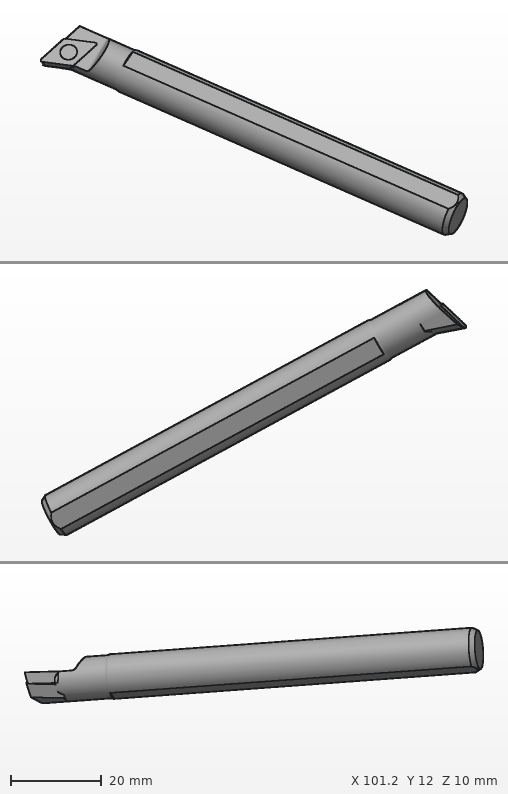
import cadquery as cq
import math

TOTAL_LENGTH = 101.2
SHANK_DIAMETER = 10.0
NECK_DIAMETER = 9.6
NECK_END = 17.7
SHANK_START = 18.3
FLAT_HEIGHT = 4.5
END_CHAMFER_LENGTH = 1.2
END_CHAMFER_DEPTH = 0.7

RAKE_TILT = 10.0
RAKE_HEIGHT = 1.3
TIP_REACH = 7.0
SHOULDER_FOOT = 10.8
SHOULDER_ANGLE = 60.0
SHOULDER_FILLET = 1.2

INSERT_SIDE = 7.8
INSERT_THICKNESS = 2.5
INSERT_ANGLE = 55.0
SIDE_EDGE_ANGLE = 17.5
CLEARANCE_ANGLE = 7.0
NOSE_RADIUS = 0.4
SCREW_HEAD_DIAMETER = 3.7
SCREW_DIAMETER = 2.8
SCREW_CONE_DEPTH = 1.0

SUPPORT_SIDE_INSET = 0.7
SUPPORT_BEVEL_TOP = -2.3
SUPPORT_BOTTOM_INSET = 2.5
SUPPORT_END = 7.9
FRONT_INSET = 0.3

TRIM_SIZE = 20.2
TRIM_DEPTH = 8.1

shank_radius = SHANK_DIAMETER / 2
neck_radius = NECK_DIAMETER / 2
tilt = math.radians(RAKE_TILT)
front_edge_angle = SIDE_EDGE_ANGLE + INSERT_ANGLE
bisector_angle = SIDE_EDGE_ANGLE + INSERT_ANGLE / 2


def along(start, angle, distance):
    """Point at a distance from start, in the direction of an angle in degrees."""
    direction = math.radians(angle)
    return (start[0] + distance * math.cos(direction), start[1] + distance * math.sin(direction))


tip_y = (RAKE_HEIGHT * math.sin(tilt) - TIP_REACH) / math.cos(tilt)
nose_center = (NOSE_RADIUS, tip_y + NOSE_RADIUS)
nose_to_sharp_tip = NOSE_RADIUS / math.sin(math.radians(INSERT_ANGLE / 2))
sharp_tip = along(nose_center, bisector_angle, -nose_to_sharp_tip)
insert_far_corner = along(along(sharp_tip, SIDE_EDGE_ANGLE, INSERT_SIDE), front_edge_angle, INSERT_SIDE)
insert_center = ((sharp_tip[0] + insert_far_corner[0]) / 2, (sharp_tip[1] + insert_far_corner[1]) / 2)


def tilted(body):
    """Turn a body built on a level rake plane into the tilted rake plane."""
    return body.rotate((0, 0, 0), (1, 0, 0), RAKE_TILT)


def rake_plane():
    return cq.Workplane("XY").workplane(offset=RAKE_HEIGHT)


def insert_prism():
    """Level insert form, a rhombus with clearance on all sides and rounded acute corners."""
    side_corner = along(sharp_tip, SIDE_EDGE_ANGLE, INSERT_SIDE)
    front_corner = along(sharp_tip, front_edge_angle, INSERT_SIDE)
    outline = rake_plane().polyline([sharp_tip, side_corner, insert_far_corner, front_corner]).close()
    prism = outline.extrude(-INSERT_THICKNESS, taper=CLEARANCE_ANGLE)
    slanted = prism.edges("not(#Z)")
    acute = slanted.sort(lambda edge: edge.Center().x + edge.Center().y)
    return prism.newObject([acute.vals()[0], acute.vals()[-1]]).fillet(NOSE_RADIUS)


def screw_plug():
    """Countersunk screw form that fills the insert hole, flush with the rake plane."""
    head_radius = SCREW_HEAD_DIAMETER / 2
    shaft_radius = SCREW_DIAMETER / 2
    profile = [
        (0, 0),
        (head_radius, 0),
        (shaft_radius, -SCREW_CONE_DEPTH),
        (shaft_radius, -INSERT_THICKNESS),
        (0, -INSERT_THICKNESS),
    ]
    plug = cq.Workplane("XZ").polyline(profile).close().revolve(360, (0, 0), (0, 1))
    return plug.translate((insert_center[0], insert_center[1], RAKE_HEIGHT))


def bar():
    """Turned neck and shank, with a flat above and below the shank."""
    profile = [
        (0, 0),
        (0, neck_radius),
        (NECK_END, neck_radius),
        (SHANK_START, shank_radius),
        (TOTAL_LENGTH - END_CHAMFER_LENGTH, shank_radius),
        (TOTAL_LENGTH, shank_radius - END_CHAMFER_DEPTH),
        (TOTAL_LENGTH, 0),
    ]
    turned = cq.Workplane("XY").polyline(profile).close().revolve(360, (0, 0), (1, 0))
    flat_length = TOTAL_LENGTH - SHANK_START
    flat_middle = SHANK_START + flat_length / 2
    for direction in (1, -1):
        flat_cut = cq.Workplane("XY").box(flat_length, SHANK_DIAMETER, SHANK_DIAMETER)
        turned = turned.cut(flat_cut.translate((flat_middle, 0, direction * (FLAT_HEIGHT + shank_radius))))
    return turned


def support():
    """Beveled block along the side cutting edge, ending square to the shank axis."""
    profile = [
        (SUPPORT_SIDE_INSET, neck_radius),
        (SUPPORT_SIDE_INSET, SUPPORT_BEVEL_TOP),
        (SUPPORT_BOTTOM_INSET, -neck_radius),
        (TRIM_SIZE, -neck_radius),
        (TRIM_SIZE, neck_radius),
    ]
    block = cq.Workplane("YZ").polyline(profile).close().extrude(TRIM_SIZE, both=True)
    block = block.rotate((0, 0, 0), (0, 0, 1), SIDE_EDGE_ANGLE).translate((0, -TIP_REACH, 0))
    allowed = cq.Workplane("XY").box(SUPPORT_END, TIP_REACH, NECK_DIAMETER, centered=(False, False, True))
    return block.intersect(allowed.translate((0, -TIP_REACH, 0)))


def chip_relief():
    """Space above the rake plane, ending at the filleted, sloping shoulder."""
    shoulder_run = TRIM_DEPTH / math.tan(math.radians(SHOULDER_ANGLE))
    profile = [
        (-TRIM_SIZE, RAKE_HEIGHT),
        (SHOULDER_FOOT, RAKE_HEIGHT),
        (SHOULDER_FOOT + shoulder_run, RAKE_HEIGHT + TRIM_DEPTH),
        (-TRIM_SIZE, RAKE_HEIGHT + TRIM_DEPTH),
    ]
    space = cq.Workplane("XZ").polyline(profile).close().extrude(TRIM_SIZE, both=True)
    return tilted(space.faces("<Z").edges(">X").fillet(SHOULDER_FILLET))


def front_trim():
    """Space ahead of the slanted front face, square to the rake plane."""
    face_point = along(sharp_tip, front_edge_angle - 90, FRONT_INSET)
    lower = along(face_point, front_edge_angle, -TRIM_SIZE)
    upper = along(face_point, front_edge_angle, TRIM_SIZE)
    outline = [lower, upper, (upper[0] - TRIM_SIZE, upper[1]), (lower[0] - TRIM_SIZE, lower[1])]
    space = rake_plane().polyline(outline).close().extrude(-TRIM_DEPTH)
    return tilted(space)


insert_blank = tilted(insert_prism())
plug = tilted(screw_plug())

insert = insert_blank.cut(plug)

holder = bar().union(support()).cut(chip_relief()).cut(front_trim())
holder = holder.cut(insert_blank).union(plug)

result = cq.Compound.makeCompound([holder.val(), insert.val()])